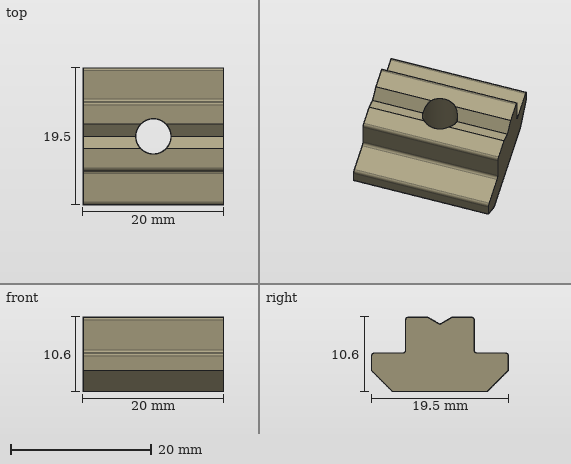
import cadquery as cq
import math

length = 20.0
base_width = 19.5
total_height = 10.6

base_height = 5.5
stem_width = 9.8
bottom_chamfer = 3.0
edge_radius = 0.4

groove_depth = 1.0
groove_angle = 120.0
groove_half_width = groove_depth * math.tan(math.radians(groove_angle / 2))

hole_diameter = 5.0


def make_body():
    """T-shaped bar along X, with a chamfered foot and rounded edges."""
    half_base = base_width / 2
    half_stem = stem_width / 2
    half_foot = half_base - bottom_chamfer
    right_side = [
        (half_foot, 0),
        (half_base, bottom_chamfer),
        (half_base, base_height),
        (half_stem, base_height),
        (half_stem, total_height),
    ]
    left_side = [(-y, z) for y, z in reversed(right_side)]
    bar = (
        cq.Workplane("YZ")
        .polyline(right_side + left_side)
        .close()
        .extrude(length / 2, both=True)
    )
    above_chamfer = cq.selectors.BoxSelector(
        (-length, -base_width, (bottom_chamfer + base_height) / 2),
        (length, base_width, 2 * total_height),
    )
    return bar.edges("|X").edges(above_chamfer).fillet(edge_radius)


def make_groove():
    """Triangular cutter for the V-groove."""
    return (
        cq.Workplane("YZ")
        .moveTo(-groove_half_width, total_height)
        .lineTo(0, total_height - groove_depth)
        .lineTo(groove_half_width, total_height)
        .close()
        .extrude(length / 2, both=True)
    )


def make_hole():
    """Vertical cutter for the central through hole."""
    return cq.Workplane("XY").circle(hole_diameter / 2).extrude(total_height)


result = make_body().cut(make_groove()).cut(make_hole())